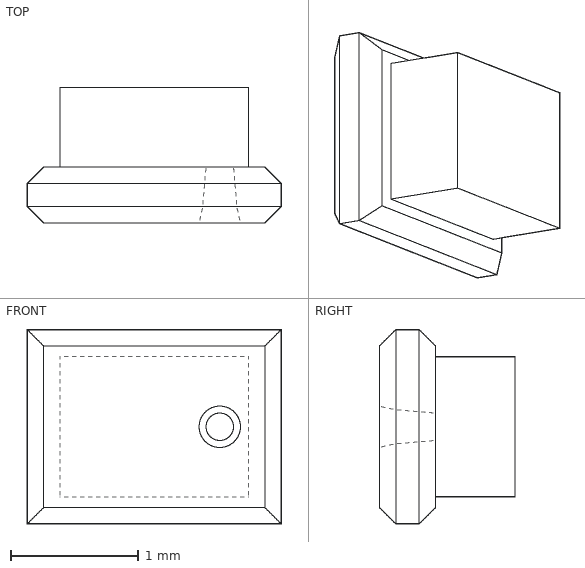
import cadquery as cq

plate_width = 2.0
plate_height = 1.53
plate_thickness = 0.445
bevel = 0.13

total_depth = 1.07
plug_width = 1.485
plug_height = 1.105

hole_x = 0.515
hole_mouth_diameter = 0.325
hole_waist_diameter = 0.272
hole_floor_diameter = 0.215
hole_waist_depth = 0.12
hole_depth = plate_thickness

front_y = -total_depth / 2
plate_back_y = front_y + plate_thickness


def make_plate():
    """Plate with equal bevels around its front and back faces."""
    plate = cq.Workplane("XY").box(
        plate_width, plate_thickness, plate_height
    )
    plate = plate.faces("<Y or >Y").edges().chamfer(bevel)
    return plate.translate((0, front_y + plate_thickness / 2, 0))


def make_plug():
    """Plain block running from the back of the plate to the rear end."""
    plug_length = total_depth - plate_thickness
    plug = cq.Workplane("XY").box(plug_width, plug_length, plug_height)
    return plug.translate((0, plate_back_y + plug_length / 2, 0))


def make_hole():
    """Turned hole that narrows in two tapers to a flat floor."""
    half_profile = (
        cq.Workplane("XY")
        .moveTo(0, 0)
        .lineTo(hole_mouth_diameter / 2, 0)
        .lineTo(hole_waist_diameter / 2, hole_waist_depth)
        .lineTo(hole_floor_diameter / 2, hole_depth)
        .lineTo(0, hole_depth)
        .close()
    )
    hole = half_profile.revolve(360, (0, 0, 0), (0, 1, 0))
    return hole.translate((hole_x, front_y, 0))


result = make_plate().union(make_plug()).cut(make_hole())